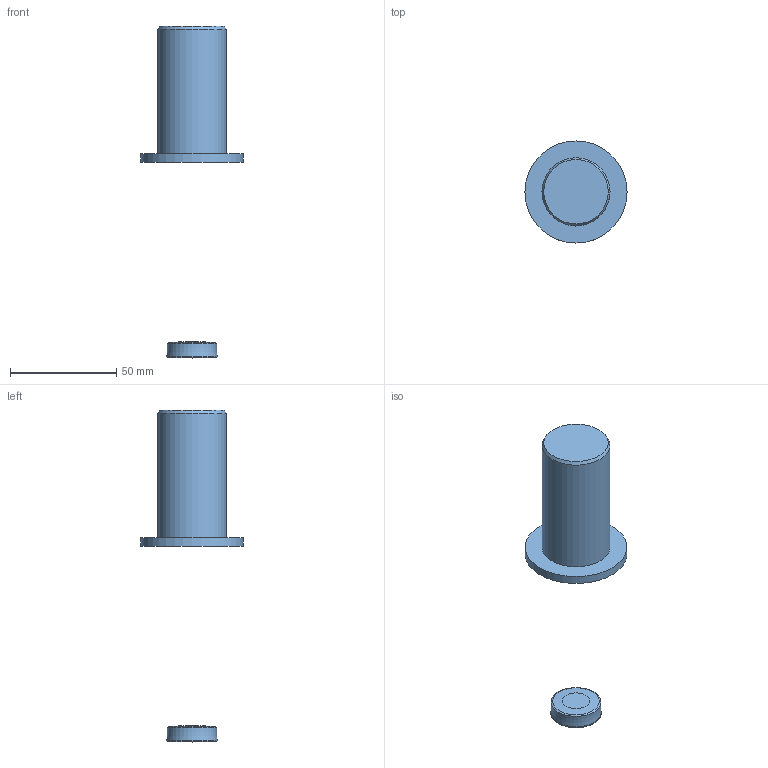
import cadquery as cq
import math

overall_height = 156.0
head_diameter = 48.0
head_thickness = 4.0
shank_diameter = 32.0
shank_length = 60.0
shank_chamfer_height = 1.5
shank_chamfer_width = 0.87
pin_base_z = overall_height - shank_length - head_thickness

cap_height = 7.55
cap_crown_radius = 6.4
cap_rim_radius = 11.0
cap_shoulder_radius = 11.7
cap_waist_radius = 11.6
cap_lip_radius = 11.8
cap_top_drop = 0.3
cap_edge_chamfer_height = 0.4
cap_lip_bottom_z = 0.6
cap_lip_thickness = 0.3
cap_base_bulge = 0.3


def make_pin():
    """Round shank with a bevelled top edge, standing on a flat disc head."""
    shank_radius = shank_diameter / 2
    head_radius = head_diameter / 2
    shank_top_z = head_thickness + shank_length
    profile = (
        cq.Workplane("XZ")
        .moveTo(0, 0)
        .lineTo(head_radius, 0)
        .lineTo(head_radius, head_thickness)
        .lineTo(shank_radius, head_thickness)
        .lineTo(shank_radius, shank_top_z - shank_chamfer_height)
        .lineTo(shank_radius - shank_chamfer_width, shank_top_z)
        .lineTo(0, shank_top_z)
        .close()
    )
    pin = profile.revolve(360, (0, 0, 0), (0, 1, 0))
    return pin.translate((0, 0, pin_base_z))


def make_cap():
    """Solid disc with a slightly hollowed side, a bottom lip and shallow convex ends."""
    rim_z = cap_height - cap_top_drop
    shoulder_z = rim_z - cap_edge_chamfer_height
    lip_top_z = cap_lip_bottom_z + cap_lip_thickness
    bulge_sphere_radius = (cap_shoulder_radius**2 + cap_base_bulge**2) / (2 * cap_base_bulge)
    bulge_mid_x = cap_shoulder_radius / 2
    bulge_mid_z = bulge_sphere_radius - math.sqrt(bulge_sphere_radius**2 - bulge_mid_x**2)
    bulge_midpoint = (bulge_mid_x, bulge_mid_z)
    waist_z = (shoulder_z + lip_top_z) / 2
    profile = (
        cq.Workplane("XZ")
        .moveTo(0, 0)
        .threePointArc(bulge_midpoint, (cap_shoulder_radius, cap_base_bulge))
        .lineTo(cap_lip_radius, cap_lip_bottom_z)
        .lineTo(cap_lip_radius, lip_top_z)
        .threePointArc((cap_waist_radius, waist_z), (cap_shoulder_radius, shoulder_z))
        .lineTo(cap_rim_radius, rim_z)
        .lineTo(cap_crown_radius, cap_height)
        .lineTo(0, cap_height)
        .close()
    )
    return profile.revolve(360, (0, 0, 0), (0, 1, 0))


pin = make_pin()
cap = make_cap()

result = cq.Compound.makeCompound([pin.val(), cap.val()])